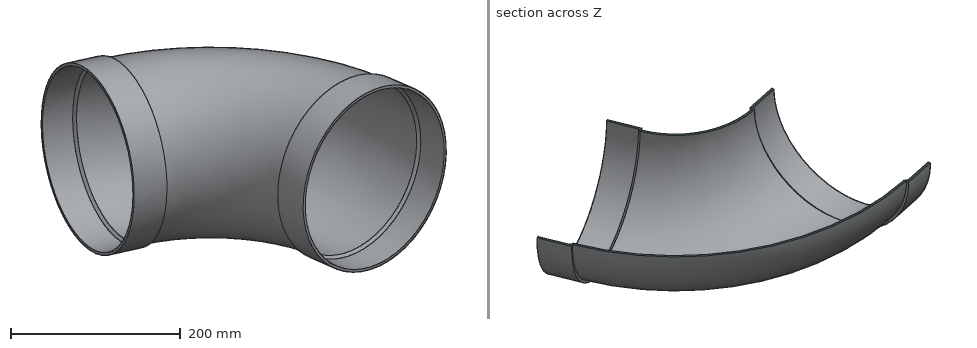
import cadquery as cq
import math

bend_angle = 75.0
bend_radius = 224.7
collar_length = 43.8
collar_diameter = 232.0
socket_diameter = 225.0
pipe_diameter = socket_diameter
pipe_bore = 218.0
stop_length = (socket_diameter - pipe_bore) / 2

angle = math.radians(bend_angle)
bend_end = (
    bend_radius * (1 - math.cos(angle)),
    collar_length + bend_radius * math.sin(angle),
    0,
)
end_direction = (math.sin(angle), math.cos(angle), 0)


def bent_pipe():
    """Hollow elbow, revolved about the bend axis parallel to Z."""
    ring = (
        cq.Workplane("XZ", origin=(0, collar_length, 0))
        .circle(pipe_diameter / 2)
        .circle(pipe_bore / 2)
    )
    return ring.revolve(bend_angle, (bend_radius, 0), (bend_radius, -1))


def collar(bend_face_center, outward):
    """Socket ring running outward from one end face of the bend, with a conical stop inside."""
    plane = cq.Plane(origin=bend_face_center, xDir=(0, 0, 1), normal=outward)
    profile = [
        (pipe_bore / 2, 0),
        (collar_diameter / 2, 0),
        (collar_diameter / 2, collar_length),
        (socket_diameter / 2, collar_length),
        (socket_diameter / 2, stop_length),
    ]
    section = cq.Workplane(plane).transformed(rotate=(90, 0, 0)).polyline(profile).close()
    return section.revolve(360, (0, 0), (0, 1))


near_collar = collar((0, collar_length, 0), (0, -1, 0))
far_collar = collar(bend_end, end_direction)
result = bent_pipe().union(near_collar).union(far_collar)